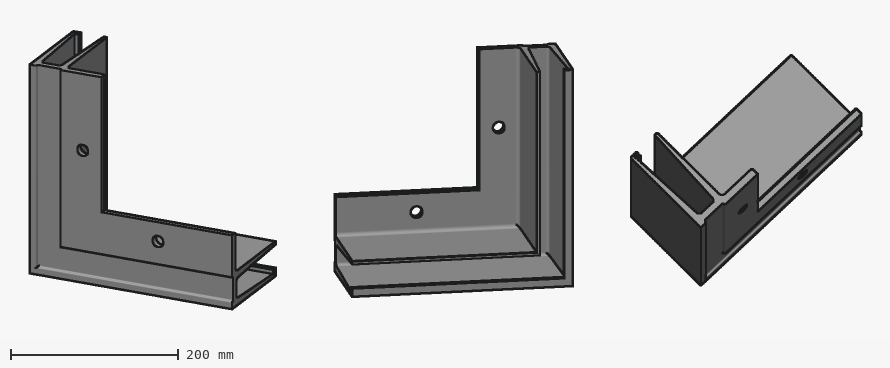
import cadquery as cq

leg_length = 268.0
depth = 120.5
flange_width = 95.0

edge_bevel = 0.8
outer_wall_root = 9.5
outer_wall_tip = 5.0
inner_wall_face = 44.8
inner_wall_root = 35.5
inner_wall_tip = 40.5
web_thickness = 12.5
pocket_radius = 4.0

flange_thickness = 10.0
flange_root_radius = 5.0
flange_bevel = 1.3

hook_width = 10.5
hook_depth = 7.8
slot_wall = 4.3
slot_start = 3.0
slot_end = 5.4

recess_depth = 3.2
recess_start = 9.5
recess_end = 40.2
recess_start_radius = recess_depth / 2
recess_end_radius = 1.3

hole_diameter = 14.2
hole_offset = 70.2
hole_height = 170.0


def draw_profile(plane, place):
    """Leg section; place maps (distance from the outer face, depth) to the plane."""

    def arc_middle(center, radius, side, end):
        reach = radius * 0.5 ** 0.5
        return place(center[0] + side * reach, center[1] + end * reach)

    def add_lines(outline, points):
        for point in points:
            outline = outline.lineTo(*place(*point))
        return outline

    pocket_bottom = web_thickness + pocket_radius
    pocket_left = (outer_wall_root + pocket_radius, pocket_bottom)
    pocket_right = (inner_wall_root - pocket_radius, pocket_bottom)
    flange_corner = (inner_wall_face + flange_root_radius, flange_thickness + flange_root_radius)

    start_rim = (recess_start - recess_start_radius, recess_start_radius)
    start_floor = (recess_start + recess_start_radius, recess_depth - recess_start_radius)
    end_floor = (recess_end - recess_end_radius, recess_depth - recess_end_radius)
    end_rim = (recess_end + recess_end_radius, recess_end_radius)

    outline = cq.Workplane(plane).moveTo(*place(0, 0))
    outline = add_lines(outline, [(start_rim[0], 0)])
    outline = outline.threePointArc(
        arc_middle(start_rim, recess_start_radius, 1, -1),
        place(recess_start, start_rim[1]),
    )
    outline = outline.threePointArc(
        arc_middle(start_floor, recess_start_radius, -1, 1),
        place(start_floor[0], recess_depth),
    )
    outline = add_lines(outline, [(end_floor[0], recess_depth)])
    outline = outline.threePointArc(
        arc_middle(end_floor, recess_end_radius, 1, 1),
        place(recess_end, end_floor[1]),
    )
    outline = add_lines(outline, [(recess_end, end_rim[1])])
    outline = outline.threePointArc(
        arc_middle(end_rim, recess_end_radius, -1, -1),
        place(end_rim[0], 0),
    )
    outline = add_lines(outline, [
        (flange_width, 0),
        (flange_width, flange_thickness - flange_bevel),
        (flange_width - flange_bevel, flange_thickness),
        (flange_corner[0], flange_thickness),
    ])
    outline = outline.threePointArc(
        arc_middle(flange_corner, flange_root_radius, -1, -1),
        place(inner_wall_face, flange_corner[1]),
    )
    outline = add_lines(outline, [
        (inner_wall_face, depth - edge_bevel),
        (inner_wall_face - edge_bevel, depth),
        (inner_wall_tip, depth),
        (inner_wall_root, pocket_bottom),
    ])
    outline = outline.threePointArc(
        arc_middle(pocket_right, pocket_radius, 1, -1),
        place(pocket_right[0], web_thickness),
    )
    outline = add_lines(outline, [(pocket_left[0], web_thickness)])
    outline = outline.threePointArc(
        arc_middle(pocket_left, pocket_radius, -1, -1),
        place(outer_wall_root, pocket_bottom),
    )
    outline = add_lines(outline, [
        (outer_wall_tip, depth - hook_depth),
        (hook_width, depth - hook_depth),
        (hook_width, depth - slot_end),
        (slot_wall, depth - slot_end),
        (slot_wall, depth - slot_start),
        (hook_width, depth - slot_start),
        (hook_width, depth),
        (edge_bevel, depth),
        (0, depth - edge_bevel),
    ])
    return outline.close()


def mitre_half(far_corner):
    """Triangular prism on one side of the diagonal mitre plane x = z."""
    return (
        cq.Workplane("XZ")
        .polyline([(0, 0), (leg_length, leg_length), far_corner])
        .close()
        .extrude(-depth)
    )


vertical_leg = draw_profile("XY", lambda across, deep: (across, deep)).extrude(leg_length)
vertical_leg = vertical_leg.intersect(mitre_half((0, leg_length)))

horizontal_leg = draw_profile("YZ", lambda across, deep: (deep, across)).extrude(leg_length)
horizontal_leg = horizontal_leg.intersect(mitre_half((leg_length, 0)))

mounting_holes = (
    cq.Workplane("XZ")
    .pushPoints([(hole_offset, hole_height), (hole_height, hole_offset)])
    .circle(hole_diameter / 2)
    .extrude(-flange_thickness)
)

result = vertical_leg.union(horizontal_leg).cut(mounting_holes)